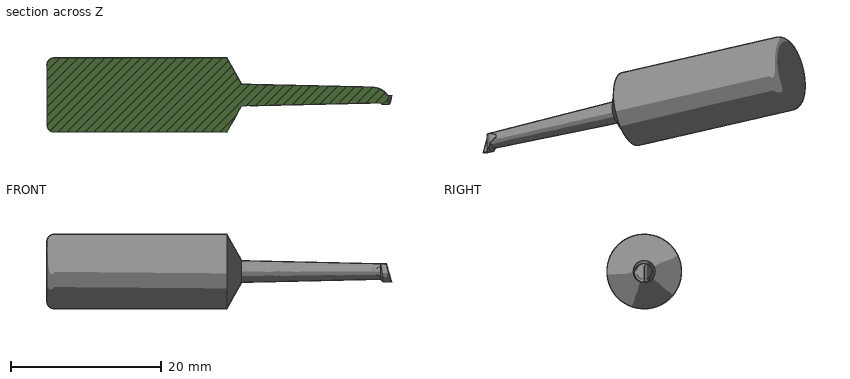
import cadquery as cq
import math

total_length = 46.0
shank_diameter = 10.0
shank_radius = shank_diameter / 2
shank_length = 24.0
shank_end_fillet = 1.0
neck_start = 26.0
neck_base_radius = 1.45
neck_tip_radius = 1.05

head_start = 44.5
head_radius = 1.25
head_center_y = -0.05
head_center_z = -0.2

end_lean_degrees = 16.0
end_relief_degrees = 4.0

relief_start = 43.5
relief_middle = (44.6, 0.75)
relief_end = (45.4, 0.05)
rake_face_y = -0.05


def make_shank_and_neck():
    """Filleted shank, cone and tapered neck as one revolved profile."""
    fillet_offset = shank_end_fillet * (1 - math.sqrt(0.5))
    return (
        cq.Workplane("XY")
        .lineTo(0, shank_radius - shank_end_fillet)
        .threePointArc(
            (fillet_offset, shank_radius - fillet_offset),
            (shank_end_fillet, shank_radius),
        )
        .lineTo(shank_length, shank_radius)
        .lineTo(neck_start, neck_base_radius)
        .lineTo(head_start, neck_tip_radius)
        .lineTo(head_start, 0)
        .close()
        .revolve(360, (0, 0, 0), (1, 0, 0))
    )


def make_head():
    """Offset cylinder whose back is bounded by a 45 degree cone on the tool axis."""
    head_length = total_length - head_start
    cylinder = (
        cq.Workplane("YZ", origin=(head_start, head_center_y, head_center_z))
        .circle(head_radius)
        .extrude(head_length)
    )
    flare = (
        cq.Workplane("XY")
        .moveTo(head_start, 0)
        .lineTo(head_start, neck_tip_radius)
        .lineTo(total_length, neck_tip_radius + head_length)
        .lineTo(total_length, 0)
        .close()
        .revolve(360, (0, 0, 0), (1, 0, 0))
    )
    return cylinder.intersect(flare)


def make_end_cutter():
    """Block beyond the sloping end face, which passes through the cutting tip."""
    tip = (total_length, rake_face_y, head_center_z - head_radius)
    normal = (
        1,
        -math.tan(math.radians(end_relief_degrees)),
        math.tan(math.radians(end_lean_degrees)),
    )
    block_size = 8 * head_radius
    end_plane = cq.Plane(origin=tip, xDir=(0, 1, 0), normal=normal)
    return cq.Workplane(end_plane).rect(block_size, block_size).extrude(block_size)


def make_flank_cutter():
    """Prism on the +Y side bounded by the convex relief and the rake face."""
    clearance = 2 * head_radius
    return (
        cq.Workplane("XY")
        .moveTo(relief_start, neck_tip_radius)
        .threePointArc(relief_middle, relief_end)
        .lineTo(relief_end[0], rake_face_y)
        .lineTo(total_length + clearance, rake_face_y)
        .lineTo(total_length + clearance, clearance)
        .lineTo(relief_start, clearance)
        .close()
        .extrude(clearance, both=True)
    )


tool = make_shank_and_neck().union(make_head())
result = tool.cut(make_flank_cutter()).cut(make_end_cutter())